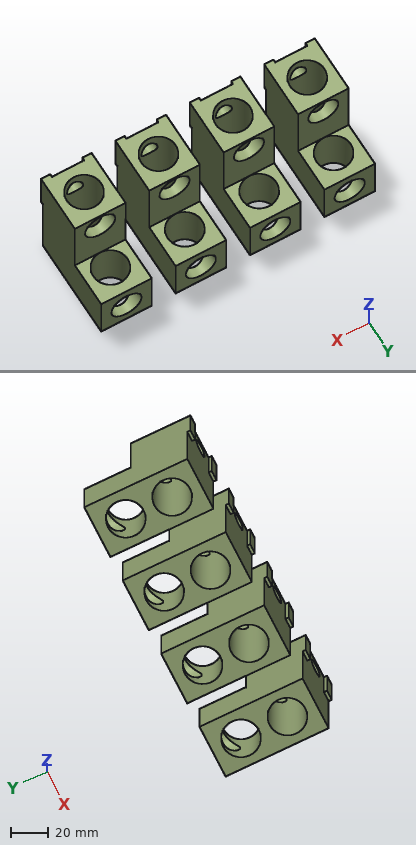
import cadquery as cq

block_count = 4
total_length = 171.5
block_width = 31.7
pitch = (total_length - block_width) / (block_count - 1)

total_depth = 64.0
total_height = 70.0
step_height = 30.0
step_length = 28.0

rail_width = 5.8
rail_height = 25.0
rail_thickness = 1.9

bore_diameter = 21.5
front_bore_y = 18.9
rear_bore_y = front_bore_y + step_length

screw_hole_diameter = 10.1
screw_hole_z = total_height - 11.0
rear_hole_diameter = 18.9
lower_hole_z = step_height / 2

overcut = 1.7


def make_profile():
    """Extrude the L-shaped side outline across the block width."""
    step_y = total_depth - step_length
    return (
        cq.Workplane("YZ")
        .moveTo(rail_thickness, 0)
        .lineTo(total_depth, 0)
        .lineTo(total_depth, step_height)
        .lineTo(step_y, step_height)
        .lineTo(step_y, total_height)
        .lineTo(rail_thickness, total_height)
        .close()
        .extrude(block_width)
    )


def make_rail(x):
    """Upright rail whose left side is at x."""
    return cq.Workplane("XY").box(
        rail_width, rail_thickness, rail_height, centered=False
    ).translate((x, 0, total_height - rail_height))


def make_bore(y):
    """Vertical cutter through the full height."""
    return (
        cq.Workplane("XY")
        .center(block_width / 2, y)
        .circle(bore_diameter / 2)
        .extrude(total_height)
    )


def make_cross_hole(diameter, z, start_y):
    """Horizontal cutter from start_y out through the rear."""
    return (
        cq.Workplane("XZ", origin=(block_width / 2, start_y, z))
        .circle(diameter / 2)
        .extrude(-(total_depth - start_y + overcut))
    )


def make_block():
    """One stepped block with its rails, bores and cross holes."""
    block = make_profile()
    for x in (0, block_width - rail_width):
        block = block.union(make_rail(x))
    for y in (front_bore_y, rear_bore_y):
        block = block.cut(make_bore(y))
    block = block.cut(make_cross_hole(screw_hole_diameter, screw_hole_z, 0))
    block = block.cut(make_cross_hole(rear_hole_diameter, screw_hole_z, front_bore_y))
    return block.cut(make_cross_hole(rear_hole_diameter, lower_hole_z, rear_bore_y))


block = make_block()
blocks = [block.translate((i * pitch, 0, 0)).val() for i in range(block_count)]
result = cq.Compound.makeCompound(blocks)